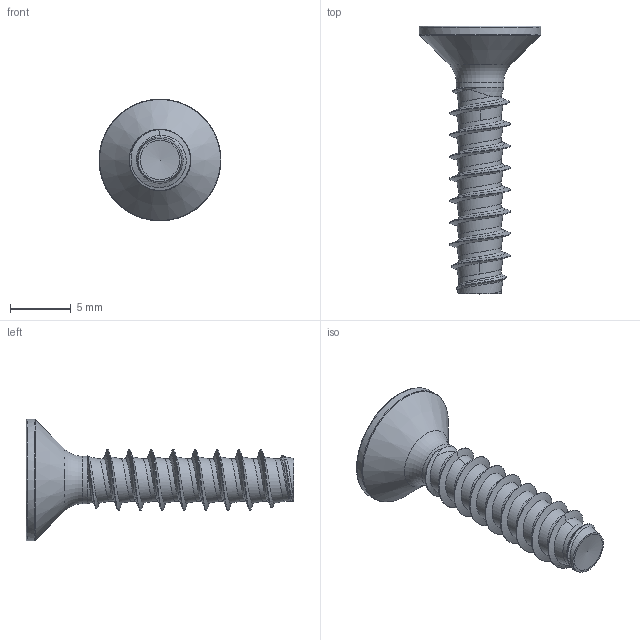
import cadquery as cq
import math


length = 22.0
head_radius = 5.0
head_rim_depth = 0.72
rim_fillet = 0.1
shank_radius = 1.95
neck_fillet = 2.0
cone_angle = math.radians(45)

thread_start_depth = 5.02
core_taper_end_depth = 5.8
core_radius = 1.75
crest_radius = 2.5
start_crest_radius = 2.19
tip_crest_radius = 1.8
full_thread_start = 6.69
full_thread_end = 19.3
pitch = 1.8
points_per_turn = 24

crest_half_width = 0.02
knee_offset = -0.18
lead_root_offset = -0.38
rear_root_offset = 0.19
taper_end_offset = 1.07
knee_height_ratio = 0.36
rear_root_radius = 1.9
rear_root_height_limit = 0.5
least_crest_height = 0.03
buried_depth = 0.03
thread_base_radius = 1.45

trim_margin = 2 * pitch

dish_radius = 1.63
dish_depth = 0.16


def make_head_and_shank():
    neck_radius = shank_radius + neck_fillet * (1 - math.cos(cone_angle))
    neck_depth = head_rim_depth + (head_radius - neck_radius) / math.tan(cone_angle)
    shank_depth = neck_depth + neck_fillet * math.sin(cone_angle)
    half_angle = cone_angle / 2
    arc_mid_radius = shank_radius + neck_fillet * (1 - math.cos(half_angle))
    arc_mid_depth = shank_depth - neck_fillet * math.sin(half_angle)
    body = (
        cq.Workplane("XY")
        .lineTo(head_radius, 0)
        .lineTo(head_radius, -head_rim_depth)
        .lineTo(neck_radius, -neck_depth)
        .threePointArc((arc_mid_radius, -arc_mid_depth), (shank_radius, -shank_depth))
        .lineTo(shank_radius, -thread_start_depth)
        .lineTo(core_radius, -core_taper_end_depth)
        .lineTo(0, -core_taper_end_depth)
        .close()
        .revolve(360, (0, 0, 0), (0, 1, 0))
    )
    largest_circles = cq.selectors.RadiusNthSelector(-1)
    return body.edges("%CIRCLE").edges(largest_circles).fillet(rim_fillet)


def cylinder_along_axis(radius, start_depth, end_depth):
    return (
        cq.Workplane("XZ", origin=(0, -start_depth, 0))
        .circle(radius)
        .extrude(end_depth - start_depth)
    )


def crest_radius_at(depth):
    """Radius of the crest, which rises below the shank and falls towards the tip."""
    if depth < full_thread_start:
        rise = (crest_radius - start_crest_radius) / (full_thread_start - thread_start_depth)
        radius = crest_radius - rise * (full_thread_start - depth)
    elif depth > full_thread_end:
        fall = (crest_radius - tip_crest_radius) / (length - full_thread_end)
        radius = crest_radius - fall * (depth - full_thread_end)
    else:
        radius = crest_radius
    return max(radius, core_radius + least_crest_height)


def thread_profile(depth):
    """Cross-section of the ridge as (radius, offset) corners, for a crest at this depth."""
    crest = crest_radius_at(depth)
    knee = core_radius + knee_height_ratio * (crest - core_radius)
    rear_root = min(rear_root_radius, core_radius + rear_root_height_limit * (crest - core_radius))
    buried_radius = core_radius - buried_depth
    taper_slope = (taper_end_offset - rear_root_offset) / (rear_root_radius - core_radius)
    taper_end = taper_end_offset + taper_slope * buried_depth
    return [
        (thread_base_radius, lead_root_offset),
        (buried_radius, lead_root_offset),
        (knee, knee_offset),
        (crest, -crest_half_width),
        (crest, crest_half_width),
        (rear_root, rear_root_offset),
        (buried_radius, taper_end),
        (thread_base_radius, taper_end),
    ]


def profile_corners(depth):
    """Corners in space; the crest crosses +Z at full_thread_start and turns right-handed."""
    angle = 2 * math.pi * (depth - full_thread_start) / pitch
    return [
        cq.Vector(-radius * math.sin(angle), -(depth + offset), radius * math.cos(angle))
        for radius, offset in thread_profile(depth)
    ]


def thread_side_faces(start_depth, end_depth):
    """Helical faces of the ridge between two crest depths, one for each side of the profile."""
    steps = math.ceil((end_depth - start_depth) / pitch * points_per_turn)
    step = (end_depth - start_depth) / steps
    sections = [profile_corners(start_depth + i * step) for i in range(steps + 1)]
    helices = [cq.Edge.makeSpline(list(corner_path)) for corner_path in zip(*sections)]
    following = helices[1:] + helices[:1]
    return [cq.Face.makeRuledSurface(a, b) for a, b in zip(helices, following)]


def end_faces(depth):
    """Close the ridge with triangles fanned out from the first corner of the profile."""
    first, *others = profile_corners(depth)
    return [
        cq.Face.makeFromWires(cq.Wire.makePolygon([first, a, b], close=True))
        for a, b in zip(others, others[1:])
    ]


def make_thread():
    first_depth = thread_start_depth - pitch
    last_depth = length + pitch / 2
    bounds = [first_depth, full_thread_start, full_thread_end, last_depth]
    faces = end_faces(first_depth) + end_faces(last_depth)
    for start_depth, end_depth in zip(bounds, bounds[1:]):
        faces += thread_side_faces(start_depth, end_depth)
    return cq.Workplane(cq.Solid.makeSolid(cq.Shell.makeShell(faces)))


def make_threaded_part():
    """Core with the ridge on it, trimmed flat where the thread starts and at the tip."""
    core = cylinder_along_axis(core_radius, thread_start_depth - trim_margin, length + trim_margin)
    zone = cylinder_along_axis(head_radius, thread_start_depth, length)
    return core.union(make_thread()).intersect(zone)


def make_tip_dish():
    return (
        cq.Workplane("XY", origin=(0, -length, 0))
        .lineTo(dish_radius, 0)
        .lineTo(0, dish_depth)
        .close()
        .revolve(360, (0, 0, 0), (0, 1, 0))
    )


result = make_head_and_shank().union(make_threaded_part()).cut(make_tip_dish())